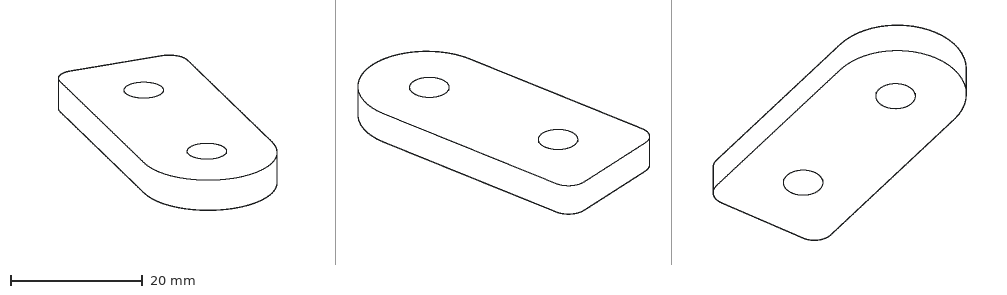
import cadquery as cq

length = 47.0
width = 21.0
thickness = 5.05

end_radius = width / 2
corner_radius = 3.0

hole_diameter = 6.0
hole_spacing = 25.0
first_hole_from_square_end = 11.0

square_end_x = -length / 2
end_arc_center_x = length / 2 - end_radius
first_hole_x = square_end_x + first_hole_from_square_end
hole_centers = [(first_hole_x, 0), (first_hole_x + hole_spacing, 0)]


def plate():
    """Flat plate with a semicircular +X end and rounded -X corners."""
    outline = (
        cq.Workplane("XY")
        .moveTo(square_end_x, -width / 2)
        .lineTo(end_arc_center_x, -width / 2)
        .threePointArc((length / 2, 0), (end_arc_center_x, width / 2))
        .lineTo(square_end_x, width / 2)
        .close()
    )
    body = outline.extrude(thickness)
    return body.faces("<X").edges("|Z").fillet(corner_radius)


result = plate().faces(">Z").workplane(origin=(0, 0, thickness)).pushPoints(hole_centers).hole(hole_diameter)